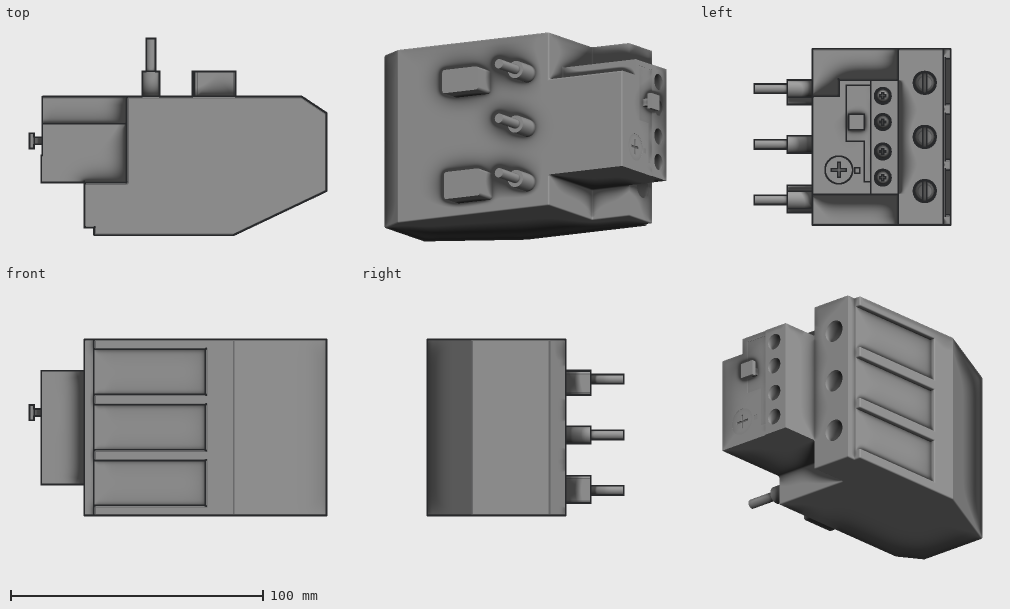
import cadquery as cq
import math

LENGTH = 117.8
HEIGHT = 70.0
HOUSING_BACK = 55.0
SHOULDER_X = 38.6
LEDGE_X = 21.7
LEDGE_TOP = 20.9
LIP_X = 25.6
LIP_Y = 3.0
TAPER_START_X = 80.8
TAPER_END_Y = 17.5
BEVEL_START_X = 107.9
BEVEL_END_Y = 48.4
EDGE_ROUND = 0.53

POLE_PITCH = 22.0
POCKET_HEIGHT = 17.8
POCKET_END_X = 69.7
POCKET_DEPTH = 2.2
POCKET_RIM_ROUND = 0.5

BLOCK_X = 5.1
BLOCK_STRIP_X = 4.7
STRIP_TOP_Y = 31.7
BLOCK_BOTTOM = 12.4
BLOCK_TOP = 57.5
NOTCH_Y = 44.2
NOTCH_Z = 51.0
JOINT_ROUND = 0.6

BUTTON_Y = 37.5
BUTTON_Z = 40.9
BUTTON_SIZE = 6.1
BUTTON_THICKNESS = 1.9
STEM_SIZE = 2.8

MARK_DEPTH = 0.1
LABEL_TOP = 55.4
LABEL_STEP_Z = 33.3
LABEL_BOTTOM = 17.3
LABEL_WIDE_Y = 41.5
LABEL_NARROW_Y = 34.4
DIAL_DIAMETER = 11.0
DIAL_Y = 44.4
DIAL_Z = 21.9
DIAL_SLOT_LENGTH = 5.9
DIAL_SLOT_WIDTH = 1.0
DIAL_SLOT_DEPTH = 0.7
TEST_SIZE = 2.0
TEST_Y = 37.1
TEST_Z = 21.7

CONTROL_SCREW_Y = 27.0
CONTROL_SCREW_Z = (18.8, 29.2, 40.9, 51.2)
CONTROL_HOLE_DIAMETER = 6.5
CONTROL_HEAD_DIAMETER = 5.7
CONTROL_HEAD_DEPTH = 5.9
CONTROL_HEAD_HEIGHT = 1.9
CROSS_LENGTH = 2.4
CROSS_WIDTH = 0.7
CROSS_DEPTH = 1.2

MAIN_SCREW_Y = 10.4
MAIN_SCREW_PITCH = 21.4
MAIN_HOLE_DIAMETER = 9.0
MAIN_HEAD_DIAMETER = 8.2
MAIN_HEAD_DEPTH = 7.7
MAIN_HEAD_HEIGHT = 2.4
MAIN_HEAD_FLAT_DIAMETER = 5.7
MAIN_SLOT_WIDTH = 1.4
MAIN_SLOT_DEPTH = 1.0

PIN_END_Y = 78.0
PIN_DIAMETER = 3.8
PIN_X = 48.2
PIN_MIDDLE_Z = 32.0
SLEEVE_DIAMETER = 7.0
SLEEVE_END_Y = 64.9
POST_LENGTH = 16.4
POST_ROUND = 1.1
UPPER_POST_X = 65.4
UPPER_POST_BOTTOM = 47.8
UPPER_POST_TOP = 57.3
LOWER_POST_X = 64.5
LOWER_POST_BOTTOM = 5.0
LOWER_POST_TOP = 15.9

MID_Z = HEIGHT / 2
ROWS = (-1, 0, 1)
OVERLAP = 1.2
MARGIN = 0.1


def box(x_range, y_range, z_range):
    """Axis-aligned box between two limits on each axis."""
    (x0, x1), (y0, y1), (z0, z1) = x_range, y_range, z_range
    return cq.Workplane("XY").box(x1 - x0, y1 - y0, z1 - z0, centered=False).translate((x0, y0, z0))


def front_box(x_range, y, z, y_size, z_size):
    """Box centred on (y, z) and running between two X limits."""
    return box(x_range, (y - y_size / 2, y + y_size / 2), (z - z_size / 2, z + z_size / 2))


def rod(start, direction, diameter, length):
    """Cylinder from a start point along a direction."""
    return cq.Workplane(
        cq.Solid.makeCylinder(diameter / 2, length, cq.Vector(*start), cq.Vector(*direction))
    )


def make_housing():
    """Bevelled body with rounded edges; the upright edges of the ledge stay sharp."""
    outline = [
        (SHOULDER_X, HOUSING_BACK),
        (BEVEL_START_X, HOUSING_BACK),
        (LENGTH, BEVEL_END_Y),
        (LENGTH, TAPER_END_Y),
        (TAPER_START_X, 0),
        (LIP_X, 0),
        (LIP_X, LIP_Y),
        (LEDGE_X, LIP_Y),
        (LEDGE_X, LEDGE_TOP),
        (SHOULDER_X, LEDGE_TOP),
    ]
    housing = cq.Workplane("XY").polyline(outline).close().extrude(HEIGHT)
    sharp_ledge = cq.selectors.BoxSelector(
        (LEDGE_X - MARGIN, LIP_Y - MARGIN, MARGIN),
        (LIP_X + MARGIN, LEDGE_TOP + MARGIN, HEIGHT - MARGIN),
    )
    all_edges = cq.selectors.StringSyntaxSelector("|Z or #Z")
    return housing.edges(all_edges - sharp_ledge).fillet(EDGE_ROUND)


def cut_side_pockets(body):
    """One shallow pocket per pole, open towards the lip and rounded along its rim."""
    for row in ROWS:
        z = MID_Z + row * POLE_PITCH
        z_range = (z - POCKET_HEIGHT / 2, z + POCKET_HEIGHT / 2)
        body = body.cut(box((LEDGE_X, POCKET_END_X), (-OVERLAP, POCKET_DEPTH), z_range))
    rim = cq.selectors.BoxSelector(
        (LIP_X + EDGE_ROUND, -MARGIN, EDGE_ROUND + MARGIN),
        (POCKET_END_X + MARGIN, MARGIN, HEIGHT - EDGE_ROUND - MARGIN),
    )
    return body.edges(rim).fillet(POCKET_RIM_ROUND)


def block_outline():
    return [
        (LEDGE_TOP, BLOCK_BOTTOM),
        (HOUSING_BACK, BLOCK_BOTTOM),
        (HOUSING_BACK, NOTCH_Z),
        (NOTCH_Y, NOTCH_Z),
        (NOTCH_Y, BLOCK_TOP),
        (LEDGE_TOP, BLOCK_TOP),
    ]


def make_block():
    block = (
        cq.Workplane("YZ", origin=(BLOCK_X, 0, 0))
        .polyline(block_outline()).close()
        .extrude(SHOULDER_X + OVERLAP - BLOCK_X)
    )
    back_edge = cq.selectors.BoxSelector(
        (BLOCK_X, HOUSING_BACK - MARGIN, NOTCH_Z - MARGIN),
        (SHOULDER_X, HOUSING_BACK + MARGIN, NOTCH_Z + MARGIN),
    )
    front_edge = cq.selectors.BoxSelector(
        (BLOCK_X - MARGIN, HOUSING_BACK - MARGIN, BLOCK_BOTTOM),
        (BLOCK_X + MARGIN, HOUSING_BACK + MARGIN, NOTCH_Z),
    )
    block = block.edges(back_edge + front_edge).fillet(EDGE_ROUND)
    strip = box((BLOCK_STRIP_X, BLOCK_X + OVERLAP), (LEDGE_TOP, STRIP_TOP_Y), (BLOCK_BOTTOM, BLOCK_TOP))
    return block.union(strip)


def cut_markings(body):
    mark_x = (BLOCK_X - OVERLAP, BLOCK_X + MARK_DEPTH)
    label = (
        cq.Workplane("YZ", origin=(BLOCK_X, 0, 0))
        .polyline([
            (STRIP_TOP_Y, LABEL_TOP),
            (LABEL_WIDE_Y, LABEL_TOP),
            (LABEL_WIDE_Y, LABEL_STEP_Z),
            (LABEL_NARROW_Y, LABEL_STEP_Z),
            (LABEL_NARROW_Y, LABEL_BOTTOM),
            (STRIP_TOP_Y, LABEL_BOTTOM),
        ]).close()
        .extrude(MARK_DEPTH)
    )
    dial = rod((BLOCK_X, DIAL_Y, DIAL_Z), (1, 0, 0), DIAL_DIAMETER, MARK_DEPTH)
    slot_x = (BLOCK_X, BLOCK_X + DIAL_SLOT_DEPTH)
    slot_upright = front_box(slot_x, DIAL_Y, DIAL_Z, DIAL_SLOT_WIDTH, DIAL_SLOT_LENGTH)
    slot_level = front_box(slot_x, DIAL_Y, DIAL_Z, DIAL_SLOT_LENGTH, DIAL_SLOT_WIDTH)
    test_window = front_box(mark_x, TEST_Y, TEST_Z, TEST_SIZE, TEST_SIZE)
    for cutter in (label, dial, slot_upright, slot_level, test_window):
        body = body.cut(cutter)
    return body


def make_button():
    head = front_box((0, BUTTON_THICKNESS), BUTTON_Y, BUTTON_Z, BUTTON_SIZE, BUTTON_SIZE)
    stem = front_box((BUTTON_THICKNESS, BLOCK_X + OVERLAP), BUTTON_Y, BUTTON_Z, STEM_SIZE, STEM_SIZE)
    return head.union(stem)


def add_control_screw(body, z):
    """Sunken screw with a domed head and a cross recess."""
    hole_depth = CONTROL_HEAD_DEPTH + CONTROL_HEAD_HEIGHT
    crown_x = BLOCK_STRIP_X + CONTROL_HEAD_DEPTH
    seat_x = BLOCK_STRIP_X + hole_depth
    radius = CONTROL_HEAD_DIAMETER / 2
    dome_radius = (radius ** 2 + CONTROL_HEAD_HEIGHT ** 2) / (2 * CONTROL_HEAD_HEIGHT)
    half_angle = math.asin(radius / dome_radius) / 2
    dome_middle = (
        crown_x + dome_radius * (1 - math.cos(half_angle)),
        dome_radius * math.sin(half_angle),
    )
    head = (
        cq.Workplane("XY")
        .moveTo(crown_x, 0)
        .threePointArc(dome_middle, (seat_x, radius))
        .lineTo(seat_x + OVERLAP, radius)
        .lineTo(seat_x + OVERLAP, 0)
        .close()
        .revolve(360, (0, 0, 0), (1, 0, 0))
        .translate((0, CONTROL_SCREW_Y, z))
    )
    cross_x = (crown_x - OVERLAP, crown_x + CROSS_DEPTH)
    head = head.cut(front_box(cross_x, CONTROL_SCREW_Y, z, CROSS_LENGTH, CROSS_WIDTH))
    head = head.cut(front_box(cross_x, CONTROL_SCREW_Y, z, CROSS_WIDTH, CROSS_LENGTH))
    hole = rod((BLOCK_STRIP_X, CONTROL_SCREW_Y, z), (1, 0, 0), CONTROL_HOLE_DIAMETER, hole_depth)
    return body.cut(hole).union(head)


def add_main_screw(body, z):
    """Sunken screw with a round-edged head and a single upright slot."""
    hole_depth = MAIN_HEAD_DEPTH + MAIN_HEAD_HEIGHT
    crown_x = LEDGE_X + MAIN_HEAD_DEPTH
    rim_round = (MAIN_HEAD_DIAMETER - MAIN_HEAD_FLAT_DIAMETER) / 2
    head = rod((crown_x, MAIN_SCREW_Y, z), (1, 0, 0), MAIN_HEAD_DIAMETER, MAIN_HEAD_HEIGHT + OVERLAP)
    head = head.faces("<X").edges().fillet(rim_round)
    slot_x = (crown_x, crown_x + MAIN_SLOT_DEPTH)
    head = head.cut(front_box(slot_x, MAIN_SCREW_Y, z, MAIN_SLOT_WIDTH, MAIN_HEAD_DIAMETER))
    hole = rod((LEDGE_X, MAIN_SCREW_Y, z), (1, 0, 0), MAIN_HOLE_DIAMETER, hole_depth)
    return body.cut(hole).union(head)


def make_pin(z):
    root = (PIN_X, HOUSING_BACK - OVERLAP, z)
    sleeve = rod(root, (0, 1, 0), SLEEVE_DIAMETER, SLEEVE_END_Y - root[1])
    pin = rod(root, (0, 1, 0), PIN_DIAMETER, PIN_END_Y - root[1])
    return sleeve.union(pin)


def make_post(x, bottom, top):
    post = box((x, x + POST_LENGTH), (HOUSING_BACK - OVERLAP, SLEEVE_END_Y), (bottom, top))
    return post.edges("|Y").fillet(POST_ROUND)


def round_block_joint(body):
    """Fillet the corner where the block sides meet the housing front."""
    joint = cq.selectors.BoxSelector(
        (SHOULDER_X - MARGIN, LEDGE_TOP + MARGIN, BLOCK_BOTTOM - MARGIN),
        (SHOULDER_X + MARGIN, HOUSING_BACK - EDGE_ROUND, BLOCK_TOP + MARGIN),
    )
    return body.edges(joint).fillet(JOINT_ROUND)


body = cut_side_pockets(make_housing())
body = body.union(make_block())
body = round_block_joint(body)
body = cut_markings(body).union(make_button())

for screw_z in CONTROL_SCREW_Z:
    body = add_control_screw(body, screw_z)

for row in ROWS:
    body = add_main_screw(body, MID_Z + row * MAIN_SCREW_PITCH)
    body = body.union(make_pin(PIN_MIDDLE_Z + row * POLE_PITCH))

body = body.union(make_post(UPPER_POST_X, UPPER_POST_BOTTOM, UPPER_POST_TOP))
body = body.union(make_post(LOWER_POST_X, LOWER_POST_BOTTOM, LOWER_POST_TOP))

result = body